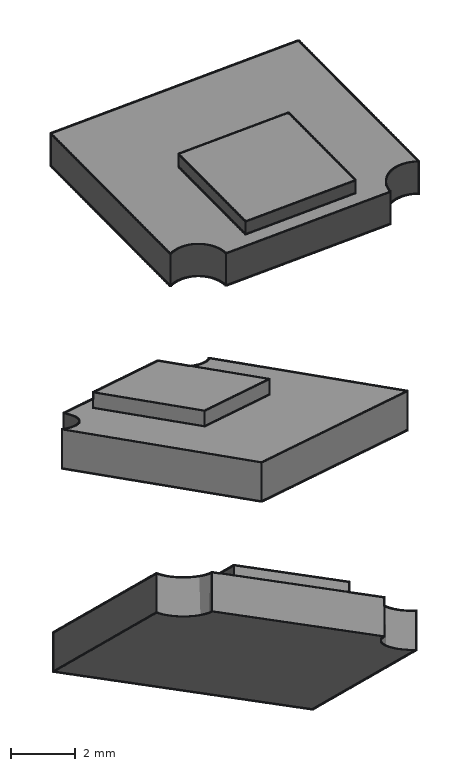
import cadquery as cq

board_length = 8.0
board_width = 9.0
board_thickness = 1.27

notch_radius = 1.0
back_notch_inset = 0.54
front_notch_inset = 0.49

chip_side = 4.0
chip_height = 0.5
chip_edge_gap = 0.5

board_edge_x = board_length / 2
board_edge_y = board_width / 2


def make_board():
    """Plate with a round notch near each +X corner."""
    plate = cq.Workplane("XY").box(
        board_length, board_width, board_thickness, centered=(True, True, False)
    )
    notch_centres = [
        (board_edge_x, board_edge_y - back_notch_inset),
        (board_edge_x, front_notch_inset - board_edge_y),
    ]
    notches = (
        cq.Workplane("XY")
        .pushPoints(notch_centres)
        .circle(notch_radius)
        .extrude(board_thickness)
    )
    return plate.cut(notches)


def make_chip():
    """Square block resting on the top face of the board."""
    chip_centre_x = board_edge_x - chip_edge_gap - chip_side / 2
    return (
        cq.Workplane("XY", origin=(chip_centre_x, 0, board_thickness))
        .rect(chip_side, chip_side)
        .extrude(chip_height)
    )


board = make_board()
chip = make_chip()
result = cq.Compound.makeCompound([board.val(), chip.val()])